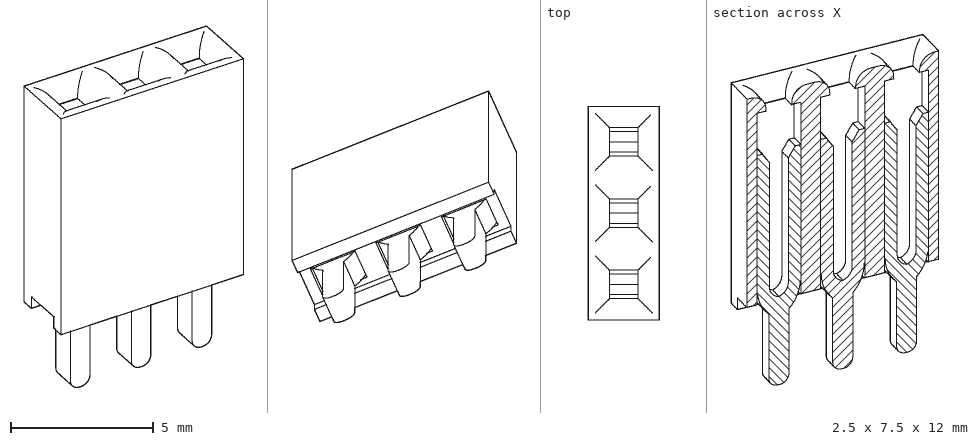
import cadquery as cq
import math

TOTAL_HEIGHT = 12.0
HOUSING_WIDTH = 2.5
HOUSING_LENGTH = 7.5
HOUSING_HEIGHT = 9.0
PIN_COUNT = 3
PITCH = HOUSING_LENGTH / PIN_COUNT
HOUSING_BOTTOM = TOTAL_HEIGHT - HOUSING_HEIGHT

NOTCH_WIDTH = 1.5
NOTCH_DEPTH = 0.48

THROAT_SIDE = 1.0
FUNNEL_RADIUS = 0.6
THROAT_DEPTH = 0.1
FUNNEL_BOTTOM = TOTAL_HEIGHT - FUNNEL_RADIUS
CAVITY_TOP = FUNNEL_BOTTOM - THROAT_DEPTH
CAVITY_WIDTH = 1.05
CAVITY_LENGTH = 1.7

CONTACT_THICKNESS = THROAT_SIDE
STEM_WIDTH = 0.8
TIP_RADIUS = 0.37
FORK_TOP = 9.6

SLOT_WIDTH = 0.72
LEAD_IN_SPREAD = 0.28
LEAD_IN_ANGLE = 57.0
LEAD_IN_HEIGHT = LEAD_IN_SPREAD * math.tan(math.radians(LEAD_IN_ANGLE))

OUTER_START_ANGLE = math.radians(45)
OUTER_RADIUS = (CAVITY_LENGTH - STEM_WIDTH) / 2 / (1 - math.sin(OUTER_START_ANGLE))
INNER_START_ANGLE = math.radians(15)
INNER_RADIUS = SLOT_WIDTH / 2 / (1 - math.sin(INNER_START_ANGLE))
ARC_TOP = HOUSING_BOTTOM + OUTER_RADIUS * math.cos(OUTER_START_ANGLE)

PIN_POSITIONS = [(i - (PIN_COUNT - 1) / 2) * PITCH for i in range(PIN_COUNT)]


def block(width, length, bottom, top):
    """Box centred on the Z axis between two heights."""
    return cq.Workplane("XY").workplane(offset=bottom).rect(width, length).extrude(top - bottom)


def funnel_prism(plane):
    """Prism whose profile narrows downwards between two convex quarter arcs."""
    throat = THROAT_SIDE / 2
    mouth = throat + FUNNEL_RADIUS
    arc_shift = FUNNEL_RADIUS * math.sqrt(0.5)
    arc_mid_z = FUNNEL_BOTTOM + arc_shift
    arc_mid = mouth - arc_shift
    return (
        cq.Workplane(plane)
        .moveTo(-throat, FUNNEL_BOTTOM)
        .lineTo(throat, FUNNEL_BOTTOM)
        .threePointArc((arc_mid, arc_mid_z), (mouth, TOTAL_HEIGHT))
        .lineTo(-mouth, TOTAL_HEIGHT)
        .threePointArc((-arc_mid, arc_mid_z), (-throat, FUNNEL_BOTTOM))
        .close()
        .extrude(mouth, both=True)
    )


def make_socket():
    """Everything removed from the housing for one contact."""
    funnel = funnel_prism("XZ").intersect(funnel_prism("YZ"))
    throat = block(THROAT_SIDE, THROAT_SIDE, CAVITY_TOP, FUNNEL_BOTTOM)
    cavity = block(CAVITY_WIDTH, CAVITY_LENGTH, HOUSING_BOTTOM, CAVITY_TOP)
    return funnel.union(throat).union(cavity)


def make_housing():
    housing = block(HOUSING_WIDTH, HOUSING_LENGTH, HOUSING_BOTTOM, TOTAL_HEIGHT)
    notch = block(NOTCH_WIDTH, HOUSING_LENGTH, HOUSING_BOTTOM, HOUSING_BOTTOM + NOTCH_DEPTH)
    housing = housing.cut(notch)
    socket = make_socket()
    for y in PIN_POSITIONS:
        housing = housing.cut(socket.translate((0, y, 0)))
    return housing.solids()


def arc_point(arm_face, radius, slope):
    """(Y, Z) where an arc of the +Y arm has a given slope; it turns vertical at Y = arm_face."""
    return arm_face - radius * (1 - math.sin(slope)), ARC_TOP - radius * math.cos(slope)


def mirrored(point):
    """The same point on the -Y arm."""
    return -point[0], point[1]


def make_contact(y):
    """Fork outline in the YZ plane, extruded across X."""
    half_stem = STEM_WIDTH / 2
    half_fork = CAVITY_LENGTH / 2
    half_slot = SLOT_WIDTH / 2
    half_mouth = half_slot + LEAD_IN_SPREAD
    lead_in_bottom = FORK_TOP - LEAD_IN_HEIGHT

    outer_mid = arc_point(half_fork, OUTER_RADIUS, (OUTER_START_ANGLE + math.pi / 2) / 2)
    outer_end = (half_fork, ARC_TOP)
    inner_mid = arc_point(half_slot, INNER_RADIUS, (INNER_START_ANGLE + math.pi / 2) / 2)
    inner_end = (half_slot, ARC_TOP)
    crotch = (0, ARC_TOP - INNER_RADIUS * math.cos(INNER_START_ANGLE))

    contact = (
        cq.Workplane("YZ")
        .moveTo(-half_stem, 0)
        .lineTo(half_stem, 0)
        .lineTo(half_stem, HOUSING_BOTTOM)
        .threePointArc(outer_mid, outer_end)
        .lineTo(half_fork, FORK_TOP)
        .lineTo(half_mouth, FORK_TOP)
        .lineTo(half_slot, lead_in_bottom)
        .lineTo(*inner_end)
        .threePointArc(inner_mid, crotch)
        .threePointArc(mirrored(inner_mid), mirrored(inner_end))
        .lineTo(-half_slot, lead_in_bottom)
        .lineTo(-half_mouth, FORK_TOP)
        .lineTo(-half_fork, FORK_TOP)
        .lineTo(*mirrored(outer_end))
        .threePointArc(mirrored(outer_mid), (-half_stem, HOUSING_BOTTOM))
        .close()
        .extrude(CONTACT_THICKNESS / 2, both=True)
    )
    contact = contact.faces("<Z").edges("|X").fillet(TIP_RADIUS)
    return contact.translate((0, y, 0)).solids()


housing = make_housing()
contacts = [make_contact(y) for y in PIN_POSITIONS]

result = cq.Compound.makeCompound([housing.val(), *[contact.val() for contact in contacts]])